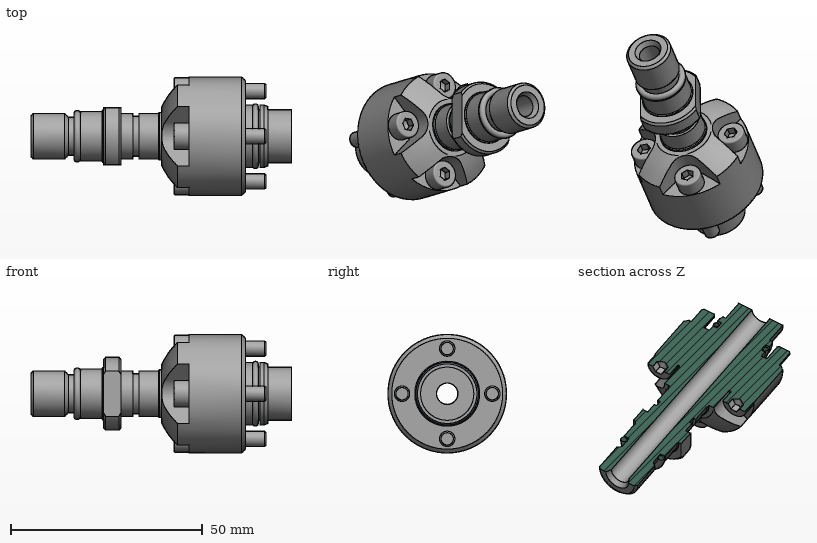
import cadquery as cq
import math


overall_length = 68.0
shaft_radius = 12.0 / 2
tip_chamfer_length = 0.7
tip_chamfer_depth = 0.7
neck_radius = 9.9 / 2
neck_start = 8.8
shoulder_start = 13.0
shoulder_radius = 13.0 / 2
nut_relief_start = 18.5
nut_relief_length = 0.2
nut_relief_radius = 13.6 / 2
clip_groove_start = 26.6
clip_groove_end = 28.15
clip_groove_radius = 10.5 / 2
shaft_collar_start = 33.25
shaft_collar_taper = 0.3
shaft_collar_radius = 12.5 / 2

nut_start = 19.0
nut_end = 23.5
nut_radius = 19.05 / 2
nut_across_flats = 14.95
nut_chamfer = 0.55

housing_radius = 30.95 / 2
housing_start = 34.1
housing_end = 55.95
housing_chamfer = 1.0
dome_radius = 25.0
dome_center = 57.95

land_radius = 16.3 / 2
land_end = 61.8
land_lead_length = 1.0
land_lead_depth = 0.4
seal_groove_start = 57.8
seal_groove_end = 59.7
seal_groove_radius = 13.95 / 2
spigot_radius = 13.9 / 2

bore_radius = 5.5 / 2
bore_mouth_radius = 7.0 / 2
bore_mouth_depth = 1.5

screw_count = 4
screw_pitch_radius = 11.75
screw_radius = 4.0 / 2
screw_end = 61.35
screw_end_chamfer = 0.4
head_radius = 7.0 / 2
head_start = 37.3
head_edge_radius = 0.4
hex_across_flats = 3.0
hex_depth = 2.0
hex_tip_angle = 120.0
pocket_floor = 41.3
pocket_radius = 10.0 / 2
pocket_center = 12.7
pocket_wall_angle = 45.0
pocket_overrun = 0.7

shaft_ring_section = 1.8
spigot_ring_section = 1.5


def revolve_profile(profile):
    """Turn a closed (x, radius) outline about the X axis."""
    return profile.close().revolve(360, (0, 0, 0), (1, 0, 0))


def make_shaft():
    neck_taper_end = neck_start + shaft_radius - neck_radius
    return revolve_profile(
        cq.Workplane("XY")
        .moveTo(0, 0)
        .lineTo(0, shaft_radius - tip_chamfer_depth)
        .lineTo(tip_chamfer_length, shaft_radius)
        .lineTo(neck_start, shaft_radius)
        .lineTo(neck_taper_end, neck_radius)
        .lineTo(shoulder_start, neck_radius)
        .lineTo(shoulder_start, shoulder_radius)
        .lineTo(nut_relief_start, shoulder_radius)
        .lineTo(nut_relief_start + nut_relief_length, nut_relief_radius)
        .lineTo(nut_start, nut_relief_radius)
        .lineTo(nut_start, shaft_radius)
        .lineTo(clip_groove_start, shaft_radius)
        .lineTo(clip_groove_start, clip_groove_radius)
        .lineTo(clip_groove_end, clip_groove_radius)
        .lineTo(clip_groove_end, shaft_radius)
        .lineTo(shaft_collar_start, shaft_radius)
        .lineTo(shaft_collar_start + shaft_collar_taper, shaft_collar_radius)
        .lineTo(housing_start, shaft_collar_radius)
        .lineTo(housing_start, 0)
    )


def make_nut():
    nut_length = nut_end - nut_start
    collar = (
        cq.Workplane("YZ", origin=(nut_start, 0, 0))
        .circle(nut_radius)
        .extrude(nut_length)
        .edges()
        .chamfer(nut_chamfer)
    )
    flats = cq.Workplane("XY").box(nut_length, nut_across_flats, 2 * nut_radius)
    return collar.intersect(flats.translate((nut_start + nut_length / 2, 0, 0)))


def dome_x(radius):
    """X of the spherical nose where it has the given radius from the axis."""
    return dome_center - math.sqrt(dome_radius**2 - radius**2)


def make_housing():
    nose_radius = math.sqrt(dome_radius**2 - (dome_center - housing_start) ** 2)
    middle_radius = (nose_radius + housing_radius) / 2
    return revolve_profile(
        cq.Workplane("XY")
        .moveTo(housing_start, 0)
        .lineTo(housing_start, nose_radius)
        .threePointArc((dome_x(middle_radius), middle_radius), (dome_x(housing_radius), housing_radius))
        .lineTo(housing_end - housing_chamfer, housing_radius)
        .lineTo(housing_end, housing_radius - housing_chamfer)
        .lineTo(housing_end, 0)
    )


def make_spigot():
    return revolve_profile(
        cq.Workplane("XY")
        .moveTo(housing_end, 0)
        .lineTo(housing_end, land_radius)
        .lineTo(seal_groove_start, land_radius)
        .lineTo(seal_groove_start, seal_groove_radius)
        .lineTo(seal_groove_end, seal_groove_radius)
        .lineTo(seal_groove_end, land_radius)
        .lineTo(land_end - land_lead_length, land_radius)
        .lineTo(land_end, land_radius - land_lead_depth)
        .lineTo(land_end, spigot_radius)
        .lineTo(overall_length, spigot_radius)
        .lineTo(overall_length, 0)
    )


def make_bore():
    return revolve_profile(
        cq.Workplane("XY")
        .moveTo(0, 0)
        .lineTo(0, bore_mouth_radius)
        .lineTo(bore_mouth_depth, bore_radius)
        .lineTo(overall_length, bore_radius)
        .lineTo(overall_length, 0)
    )


def make_pocket():
    """Pocket on the +Y side: a round bottom whose tangent walls open outward."""
    wall_angle = math.radians(pocket_wall_angle)
    tangent_y = pocket_center - pocket_radius * math.sin(wall_angle)
    tangent_z = pocket_radius * math.cos(wall_angle)
    outer_y = housing_radius + pocket_overrun
    outer_z = tangent_z + (outer_y - tangent_y) * math.tan(wall_angle)
    return (
        cq.Workplane("YZ", origin=(housing_start, 0, 0))
        .moveTo(tangent_y, tangent_z)
        .threePointArc((pocket_center - pocket_radius, 0), (tangent_y, -tangent_z))
        .lineTo(outer_y, -outer_z)
        .lineTo(outer_y, outer_z)
        .close()
        .extrude(pocket_floor - housing_start)
    )


def make_hex_socket():
    """Hexagonal socket with a drilled conical bottom, a corner pointing outward."""
    corner_radius = hex_across_flats / math.sqrt(3)
    tip_length = corner_radius / math.tan(math.radians(hex_tip_angle / 2))
    prism = (
        cq.Workplane("YZ", origin=(head_start, screw_pitch_radius, 0))
        .polygon(6, 2 * corner_radius)
        .extrude(hex_depth + tip_length)
    )
    drill = revolve_profile(
        cq.Workplane("XY")
        .moveTo(head_start, 0)
        .lineTo(head_start, corner_radius)
        .lineTo(head_start + hex_depth, corner_radius)
        .lineTo(head_start + hex_depth + tip_length, 0)
    )
    return prism.intersect(drill.translate((0, screw_pitch_radius, 0)))


def make_screw():
    """Socket-head screw on the +Y side."""
    head = (
        cq.Workplane("YZ", origin=(head_start, screw_pitch_radius, 0))
        .circle(head_radius)
        .extrude(pocket_floor - head_start)
        .faces("<X")
        .edges()
        .fillet(head_edge_radius)
    )
    shank = (
        cq.Workplane("YZ", origin=(pocket_floor, screw_pitch_radius, 0))
        .circle(screw_radius)
        .extrude(screw_end - pocket_floor)
        .faces(">X")
        .chamfer(screw_end_chamfer)
    )
    return head.union(shank).cut(make_hex_socket())


def around_axis(shape):
    """Copies of a shape turned evenly about the X axis."""
    step = 360 / screw_count
    return [shape.rotate((0, 0, 0), (1, 0, 0), i * step) for i in range(screw_count)]


def make_union_body():
    body = make_shaft().union(make_nut()).union(make_housing()).union(make_spigot())
    for pocket in around_axis(make_pocket()):
        body = body.cut(pocket)
    for screw in around_axis(make_screw()):
        body = body.union(screw)
    return body.cut(make_bore())


def make_o_ring(center_x, floor_radius, section):
    """O-ring that rests on a groove floor of the given radius."""
    center_radius = floor_radius + section / 2
    return (
        cq.Workplane("XY")
        .center(center_x, center_radius)
        .circle(section / 2)
        .revolve(360, (-center_x, -center_radius, 0), (0.7 - center_x, -center_radius, 0))
    )


union_body = make_union_body()
shaft_o_ring = make_o_ring(shoulder_start - shaft_ring_section / 2, neck_radius, shaft_ring_section)
spigot_o_ring = make_o_ring(
    seal_groove_start + spigot_ring_section / 2, seal_groove_radius, spigot_ring_section
)

result = cq.Compound.makeCompound([union_body.val(), shaft_o_ring.val(), spigot_o_ring.val()])